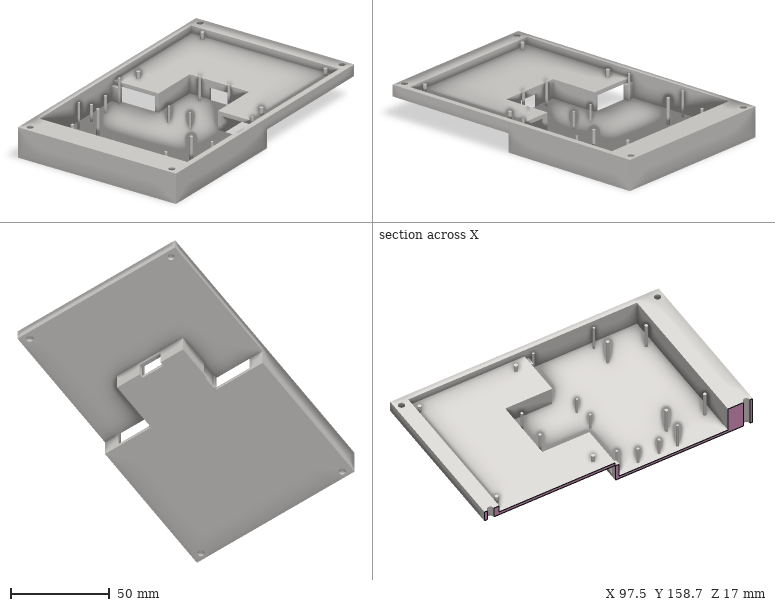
import cadquery as cq

WIDTH = 97.5
LENGTH = 158.7
HEIGHT = 17.0

UPPER_FLOOR_Z = -4.3
PLATE_BOTTOM_Z = -6.5
FLOOR_THICKNESS = 2.0
LOWER_FLOOR_Z = FLOOR_THICKNESS - HEIGHT

CAVITY_WIDTH = 91.0
CAVITY_BACK_Y = 70.6
CAVITY_FRONT_Y = -64.6
WALL = 2.0
STEP_Y = 1.9
CROSS_WALL = 2.4

TONGUE_WIDTH = 36.5
TONGUE_BACK_Y = 29.7
WINDOW_WIDTH = 13.0
WINDOW_TOP_Z = -8.4
WINDOW_FRONT_Y = 29.2

RECESS_DEPTH = 0.8
RECESS_FRONT_Y = 3.7
RECESS_FOOT_Y = 11.0
RECESS_BACK_Y = 13.0

OPENING_OUTER_X = 40.6

SCREW_DIAMETER = 3.7
SCREW_X = 43.7
SCREW_Y = 75.7

TALL_PIN_Z = -0.3
TONGUE_PIN_Z = -1.5
SHORT_PIN_Z = -5.4

PIN_GROUPS = [
    (2.0, UPPER_FLOOR_Z, TALL_PIN_Z, (-37.0, 38.9), (68.0, 11.0)),
    (1.7, LOWER_FLOOR_Z, TALL_PIN_Z, (-28.3, 29.4), (-37.6, -60.3)),
    (1.5, LOWER_FLOOR_Z, TONGUE_PIN_Z, (-9.4, 8.5), (25.7,)),
    (1.5, LOWER_FLOOR_Z, SHORT_PIN_Z, (-40.2,), (-13.7, -26.2)),
    (1.2, LOWER_FLOOR_Z, SHORT_PIN_Z, (-6.7, 6.3), (-5.5,)),
    (1.3, LOWER_FLOOR_Z, TALL_PIN_Z, (-40.5, 41.6), (-1.0, -36.8)),
]


def block(x0, x1, y0, y1, z0, z1):
    """Box given by its limits along each axis."""
    return cq.Workplane("XY").box(x1 - x0, y1 - y0, z1 - z0, centered=False).translate((x0, y0, z0))


def centred_block(width, y0, y1, z0, z1):
    """Box given by its limits, centred on X = 0."""
    return block(-width / 2, width / 2, y0, y1, z0, z1)


def pin(diameter, base_z, top_z, x, y):
    """Upright pin, rooted in the middle of the floor below it."""
    root_z = base_z - FLOOR_THICKNESS / 2
    return cq.Workplane("XY").circle(diameter / 2).extrude(top_z - root_z).translate((x, y, root_z))


body = centred_block(WIDTH, -LENGTH / 2, LENGTH / 2, PLATE_BOTTOM_Z, 0)
body = body.union(centred_block(WIDTH, -LENGTH / 2, STEP_Y, -HEIGHT, PLATE_BOTTOM_Z))
body = body.union(
    centred_block(TONGUE_WIDTH + 2 * WALL, STEP_Y, TONGUE_BACK_Y + WALL, -HEIGHT, PLATE_BOTTOM_Z)
)

cross_wall_front_y = STEP_Y - CROSS_WALL
body = body.cut(centred_block(CAVITY_WIDTH, CAVITY_FRONT_Y, CAVITY_BACK_Y, UPPER_FLOOR_Z, 0))
body = body.cut(centred_block(CAVITY_WIDTH, CAVITY_FRONT_Y, cross_wall_front_y, LOWER_FLOOR_Z, 0))
body = body.cut(centred_block(CAVITY_WIDTH, cross_wall_front_y, STEP_Y, PLATE_BOTTOM_Z, 0))
body = body.cut(centred_block(TONGUE_WIDTH, cross_wall_front_y, TONGUE_BACK_Y, LOWER_FLOOR_Z, 0))

body = body.cut(
    centred_block(2 * OPENING_OUTER_X, cross_wall_front_y, STEP_Y, LOWER_FLOOR_Z, PLATE_BOTTOM_Z)
)

body = body.cut(
    centred_block(WINDOW_WIDTH, WINDOW_FRONT_Y, TONGUE_BACK_Y + WALL, -HEIGHT, WINDOW_TOP_Z)
)

recess_x0 = -TONGUE_WIDTH / 2 - WALL
recess_x1 = recess_x0 + RECESS_DEPTH
body = body.cut(
    block(recess_x0, recess_x1, RECESS_FRONT_Y, RECESS_BACK_Y, LOWER_FLOOR_Z, PLATE_BOTTOM_Z)
)
body = body.cut(
    block(recess_x0, recess_x1, RECESS_FRONT_Y, RECESS_FOOT_Y, -HEIGHT, LOWER_FLOOR_Z)
)

screw_places = [(x, y) for x in (-SCREW_X, SCREW_X) for y in (-SCREW_Y, SCREW_Y)]
screws = cq.Workplane("XY").pushPoints(screw_places).circle(SCREW_DIAMETER / 2).extrude(-HEIGHT)
body = body.cut(screws)

for diameter, base_z, top_z, x_places, y_places in PIN_GROUPS:
    for x in x_places:
        for y in y_places:
            body = body.union(pin(diameter, base_z, top_z, x, y))

result = body.translate((0, 0, HEIGHT / 2))